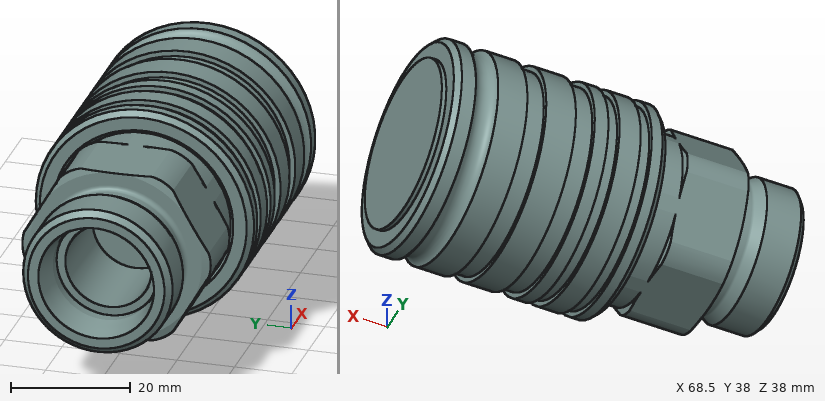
import cadquery as cq
import math

LENGTH = 68.5

THREAD_DIA = 26.0
THREAD_CHAMFER_DIA = 23.8
THREAD_CHAMFER_LENGTH = 1.0
THREAD_END = 7.3
RUNOUT_ANGLE = math.radians(30)
NECK_DIA = 23.8
NECK_FILLET = 0.8

HEX_SIDES = 6
HALF_SIDE_ANGLE = math.pi / HEX_SIDES
HEX_START = 11.9
HEX_END = 23.9
HEX_FLATS = 30.0
HEX_CORNER_DIA = 32.8
HEX_CORNER_WIDTH = 4.25
HEX_FRONT_CHAMFER = 0.4
HEX_REAR_CHAMFER = 0.3
SHANK_DIA = 30.15

SLEEVE_START = 28.5
SLEEVE_END = 67.7
SLEEVE_DIA = 38.0
SLEEVE_CHAMFER = 1.0
GRIP_DIA = 36.0
GRIP_GROOVES = [(31.5, 33.55), (37.5, 39.5), (42.05, 45.55), (51.0, 54.5)]
ROUND_GROOVE_CENTER = 62.0
ROUND_GROOVE_WIDTH = 4.1
ROUND_GROOVE_DEPTH = 1.45
COUNTERSINK_DIA = 31.4
COUNTERSINK_DEPTH = 0.6

LIP_DIA = 30.15

SOCKET_DIA = 18.0
MOUTH_DIA = 20.15
CONE_LENGTH = 5.3
SOCKET_DEPTH = 7.4
BORE_DIA = 15.0
BORE_DEPTH = HEX_END


def revolve_about_x(profile):
    """Close a half profile drawn as (X, radius) and turn it about the X axis."""
    return profile.close().revolve(360, (0, 0, 0), (1, 0, 0))


def disc(dia, start, end):
    """Cylinder on the X axis between two X places."""
    return cq.Workplane("YZ", origin=(start, 0, 0)).circle(dia / 2).extrude(end - start)


def threaded_end():
    """Chamfered thread, sloped run-out, and neck flaring into the hexagon."""
    thread_r = THREAD_DIA / 2
    neck_r = NECK_DIA / 2
    runout_end = THREAD_END + (thread_r - neck_r) / math.tan(RUNOUT_ANGLE)
    tangent = NECK_FILLET * math.tan(RUNOUT_ANGLE / 2)
    slope_end = (
        runout_end - tangent * math.cos(RUNOUT_ANGLE),
        neck_r + tangent * math.sin(RUNOUT_ANGLE),
    )
    profile = (
        cq.Workplane("XY")
        .lineTo(0, THREAD_CHAMFER_DIA / 2)
        .lineTo(THREAD_CHAMFER_LENGTH, thread_r)
        .lineTo(THREAD_END, thread_r)
        .lineTo(*slope_end)
        .tangentArcPoint((runout_end + tangent, neck_r), relative=False)
        .lineTo(HEX_START - NECK_FILLET, neck_r)
        .tangentArcPoint((HEX_START, neck_r + NECK_FILLET), relative=False)
        .lineTo(HEX_START, 0)
    )
    return revolve_about_x(profile)


def corner_point(corner, radius, sideways):
    """Point near a hexagon corner, offset along and across the corner direction."""
    angle = 2 * HALF_SIDE_ANGLE * corner
    return (
        radius * math.cos(angle) - sideways * math.sin(angle),
        radius * math.sin(angle) + sideways * math.cos(angle),
    )


def hexagon():
    """Hexagon with flats facing up and down, rounded corners and chamfered ends."""
    half_width = HEX_CORNER_WIDTH / 2
    edge_r = (HEX_FLATS / 2 - half_width * math.sin(HALF_SIDE_ANGLE)) / math.cos(HALF_SIDE_ANGLE)
    outline = cq.Workplane("YZ", origin=(HEX_START, 0, 0))
    outline = outline.moveTo(*corner_point(0, edge_r, half_width))
    for corner in range(1, HEX_SIDES + 1):
        outline = outline.lineTo(*corner_point(corner, edge_r, -half_width))
        outline = outline.threePointArc(
            corner_point(corner, HEX_CORNER_DIA / 2, 0),
            corner_point(corner, edge_r, half_width),
        )
    prism = outline.close().extrude(HEX_END - HEX_START)

    face_r = HEX_FLATS / 2
    corner_r = HEX_CORNER_DIA / 2
    envelope = (
        cq.Workplane("XY")
        .moveTo(HEX_START, 0)
        .lineTo(HEX_START, face_r)
        .lineTo(HEX_START + HEX_FRONT_CHAMFER, corner_r)
        .lineTo(HEX_END - HEX_REAR_CHAMFER, corner_r)
        .lineTo(HEX_END, SHANK_DIA / 2)
        .lineTo(HEX_END, 0)
    )
    return prism.intersect(revolve_about_x(envelope))


def shank():
    """Round shank, trimmed by the planes of the hexagon flats."""
    length = SLEEVE_START + COUNTERSINK_DEPTH - HEX_END
    across_corners = HEX_FLATS / math.cos(HALF_SIDE_ANGLE)
    flats = cq.Workplane("YZ", origin=(HEX_END, 0, 0)).polygon(HEX_SIDES, across_corners).extrude(length)
    return disc(SHANK_DIA, HEX_END, HEX_END + length).intersect(flats)


def sleeve():
    """Grip sleeve with square grooves, one round groove and a countersunk front."""
    outer_r = SLEEVE_DIA / 2
    chamfer_r = GRIP_DIA / 2
    half_width = ROUND_GROOVE_WIDTH / 2
    profile = (
        cq.Workplane("XY")
        .moveTo(SLEEVE_START + COUNTERSINK_DEPTH, 0)
        .lineTo(SLEEVE_START + COUNTERSINK_DEPTH, SHANK_DIA / 2)
        .lineTo(SLEEVE_START, COUNTERSINK_DIA / 2)
        .lineTo(SLEEVE_START, chamfer_r)
        .lineTo(SLEEVE_START + SLEEVE_CHAMFER, outer_r)
    )
    for start, end in GRIP_GROOVES:
        profile = (
            profile.lineTo(start, outer_r)
            .lineTo(start, GRIP_DIA / 2)
            .lineTo(end, GRIP_DIA / 2)
            .lineTo(end, outer_r)
        )
    profile = (
        profile.lineTo(ROUND_GROOVE_CENTER - half_width, outer_r)
        .threePointArc(
            (ROUND_GROOVE_CENTER, outer_r - ROUND_GROOVE_DEPTH),
            (ROUND_GROOVE_CENTER + half_width, outer_r),
        )
        .lineTo(SLEEVE_END - SLEEVE_CHAMFER, outer_r)
        .lineTo(SLEEVE_END, chamfer_r)
        .lineTo(SLEEVE_END, 0)
    )
    return revolve_about_x(profile)


def tube_socket():
    """Tapered mouth, tube seat and blind bore."""
    socket_r = SOCKET_DIA / 2
    profile = (
        cq.Workplane("XY")
        .lineTo(0, MOUTH_DIA / 2)
        .lineTo(CONE_LENGTH, socket_r)
        .lineTo(SOCKET_DEPTH, socket_r)
        .lineTo(SOCKET_DEPTH, BORE_DIA / 2)
        .lineTo(BORE_DEPTH, BORE_DIA / 2)
        .lineTo(BORE_DEPTH, 0)
    )
    return revolve_about_x(profile)


result = (
    threaded_end()
    .union(hexagon())
    .union(shank())
    .union(sleeve())
    .union(disc(LIP_DIA, SLEEVE_END, LENGTH))
    .cut(tube_socket())
)